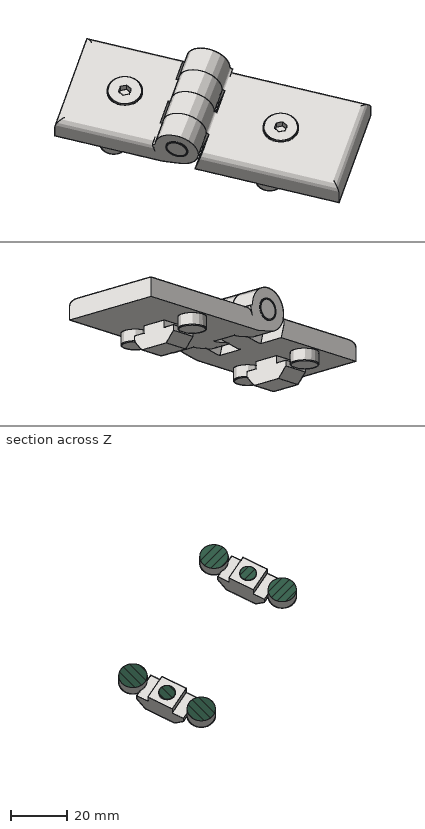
import cadquery as cq
import math

LENGTH = 105.0
WIDTH = 40.0
HEIGHT = 26.0
SHORT_LEAF_REACH = 45.0
LONG_LEAF_REACH = LENGTH - SHORT_LEAF_REACH

KNUCKLE_RADIUS = 8.0
KNUCKLE_COUNT = 4
KNUCKLE_WIDTH = WIDTH / KNUCKLE_COUNT
PIN_DIAMETER = 8.1
PIN_CHAMFER = 0.4

PLATE_TOP = -0.5
PLATE_THICKNESS = 8.5
PLATE_BOTTOM = PLATE_TOP - PLATE_THICKNESS
EDGE_RADIUS = 3.5
ROOT_FILLET = 1.0
END_TOP_X = math.sqrt((KNUCKLE_RADIUS + ROOT_FILLET) ** 2 - (PLATE_TOP + ROOT_FILLET) ** 2)
END_ANGLE = 15.0
END_BOTTOM_X = END_TOP_X - PLATE_THICKNESS * math.tan(math.radians(END_ANGLE))

WEB_FOOT_X = 5.2

SCREW_SHORT_X = 25.0
SCREW_LONG_X = 32.5
HEAD_DIAMETER = 12.0
RECESS_DIAMETER = 12.6
RECESS_DEPTH = 0.5
HEAD_RISE = 0.4
SOCKET_FLATS = 4.0
SOCKET_DEPTH = 2.5

BOSS_DIAMETER = 10.2
BOSS_HEIGHT = 4.6
BOSS_CHAMFER = 0.3
BOSS_Y = 14.0

SHANK_DIAMETER = 6.0
BLOCK_GAP = 0.3
BLOCK_BOTTOM = KNUCKLE_RADIUS - HEIGHT
BLOCK_LENGTH = 10.0
NECK_WIDTH = 10.0
FLANGE_DROP = 3.0
FLANGE_WIDTH = 19.1
FLANGE_SIDE_HEIGHT = 2.1
BLOCK_BOTTOM_WIDTH = 12.0


def front_prism(sketch, y_min, y_max):
    """Extrude an XZ outline along Y from y_min to y_max."""
    return sketch.extrude(y_min - y_max).translate((0, y_min, 0))


def plate(reach):
    """Flat plate with three rounded top edges and a leaning end beside the barrel."""
    blank = (
        cq.Workplane("XY", origin=(0, 0, PLATE_BOTTOM))
        .rect(2 * reach, WIDTH)
        .extrude(PLATE_THICKNESS)
        .faces(">Z")
        .edges()
        .fillet(EDGE_RADIUS)
    )
    side = (
        cq.Workplane("XZ")
        .moveTo(END_TOP_X, PLATE_TOP)
        .lineTo(reach, PLATE_TOP)
        .lineTo(reach, PLATE_BOTTOM)
        .lineTo(END_BOTTOM_X, PLATE_BOTTOM)
        .close()
    )
    return blank.intersect(front_prism(side, -WIDTH / 2, WIDTH / 2))


def knuckle(y_min):
    """Barrel segment and its web, whose underside is tangent to the barrel."""
    foot_distance = math.hypot(WEB_FOOT_X, PLATE_BOTTOM)
    foot_angle = math.atan2(PLATE_BOTTOM, WEB_FOOT_X)
    tangent_angle = foot_angle - math.acos(KNUCKLE_RADIUS / foot_distance)
    tangent_x = KNUCKLE_RADIUS * math.cos(tangent_angle)
    tangent_z = KNUCKLE_RADIUS * math.sin(tangent_angle)
    root_center_z = PLATE_TOP + ROOT_FILLET
    root_angle = math.atan2(root_center_z, END_TOP_X)
    root_x = KNUCKLE_RADIUS * math.cos(root_angle)
    root_z = KNUCKLE_RADIUS * math.sin(root_angle)
    barrel_side_angle = root_angle + math.pi
    straight_down_angle = 1.5 * math.pi
    root_mid_angle = (barrel_side_angle + straight_down_angle) / 2
    root_mid_x = END_TOP_X + ROOT_FILLET * math.cos(root_mid_angle)
    root_mid_z = root_center_z + ROOT_FILLET * math.sin(root_mid_angle)
    arc_mid = KNUCKLE_RADIUS * math.cos(math.pi / 4)
    outline = (
        cq.Workplane("XZ")
        .moveTo(root_x, root_z)
        .threePointArc((root_mid_x, root_mid_z), (END_TOP_X, PLATE_TOP))
        .lineTo(END_BOTTOM_X, PLATE_BOTTOM)
        .lineTo(WEB_FOOT_X, PLATE_BOTTOM)
        .lineTo(tangent_x, tangent_z)
        .threePointArc((-KNUCKLE_RADIUS, 0), (0, KNUCKLE_RADIUS))
        .threePointArc((arc_mid, arc_mid), (root_x, root_z))
        .close()
    )
    return front_prism(outline, y_min, y_min + KNUCKLE_WIDTH)


def head_recess(x):
    """Ring-shaped gap around the screw head."""
    return (
        cq.Workplane("XY", origin=(x, 0, PLATE_TOP))
        .circle(RECESS_DIAMETER / 2)
        .circle(HEAD_DIAMETER / 2)
        .extrude(-RECESS_DEPTH)
    )


def screw_head(x):
    """Round head standing proud of the plate."""
    return cq.Workplane("XY", origin=(x, 0, PLATE_TOP)).circle(HEAD_DIAMETER / 2).extrude(HEAD_RISE)


def socket(x):
    """Hexagonal recess with two flats facing along X."""
    sides = 6
    return (
        cq.Workplane("XY", origin=(x, 0, PLATE_TOP + HEAD_RISE))
        .polygon(sides, SOCKET_FLATS / math.cos(math.pi / sides))
        .extrude(-SOCKET_DEPTH)
        .rotate((x, 0, 0), (x, 0, 1), 180 / sides)
    )


def bosses(x):
    """Pair of round locating bosses, chamfered at the lower end."""
    return (
        cq.Workplane("XY", origin=(x, 0, PLATE_BOTTOM))
        .pushPoints([(0, -BOSS_Y), (0, BOSS_Y)])
        .circle(BOSS_DIAMETER / 2)
        .extrude(-BOSS_HEIGHT)
        .faces("<Z")
        .chamfer(BOSS_CHAMFER)
    )


def slot_block(x):
    """T-slot block on its shank: narrow neck, wide flange and tapered lower sides."""
    flange_top = PLATE_BOTTOM - FLANGE_DROP
    taper_top = flange_top - FLANGE_SIDE_HEIGHT
    block_top = PLATE_BOTTOM - BLOCK_GAP
    shank = cq.Workplane("XY", origin=(x, 0, PLATE_BOTTOM)).circle(SHANK_DIAMETER / 2).extrude(-BLOCK_GAP)
    block = (
        cq.Workplane("YZ", origin=(x - BLOCK_LENGTH / 2, 0, 0))
        .moveTo(0, block_top)
        .lineTo(NECK_WIDTH / 2, block_top)
        .lineTo(NECK_WIDTH / 2, flange_top)
        .lineTo(FLANGE_WIDTH / 2, flange_top)
        .lineTo(FLANGE_WIDTH / 2, taper_top)
        .lineTo(BLOCK_BOTTOM_WIDTH / 2, BLOCK_BOTTOM)
        .lineTo(0, BLOCK_BOTTOM)
        .mirrorY()
        .extrude(BLOCK_LENGTH)
    )
    return block.union(shank)


def pin():
    """Hinge pin, as long as the barrel, with chamfered ends."""
    profile = cq.Workplane("XZ").circle(PIN_DIAMETER / 2)
    return front_prism(profile, -WIDTH / 2, WIDTH / 2).faces("<Y or >Y").chamfer(PIN_CHAMFER)


def leaf(reach, screw_x):
    """Leaf reaching towards +X, complete with its knuckles, screw head, bosses and block."""
    body = plate(reach)
    for place in range(1, KNUCKLE_COUNT, 2):
        body = body.union(knuckle(-WIDTH / 2 + place * KNUCKLE_WIDTH))
    body = body.cut(head_recess(screw_x)).union(screw_head(screw_x)).cut(socket(screw_x))
    body = body.union(bosses(screw_x)).union(slot_block(screw_x))
    bore = front_prism(cq.Workplane("XZ").circle(PIN_DIAMETER / 2), -WIDTH / 2, WIDTH / 2)
    return body.cut(bore)


long_leaf = leaf(LONG_LEAF_REACH, SCREW_LONG_X)
short_leaf = leaf(SHORT_LEAF_REACH, SCREW_SHORT_X).rotate((0, 0, 0), (0, 0, 1), 180)
hinge_pin = pin()

result = cq.Compound.makeCompound([long_leaf.val(), short_leaf.val(), hinge_pin.val()])